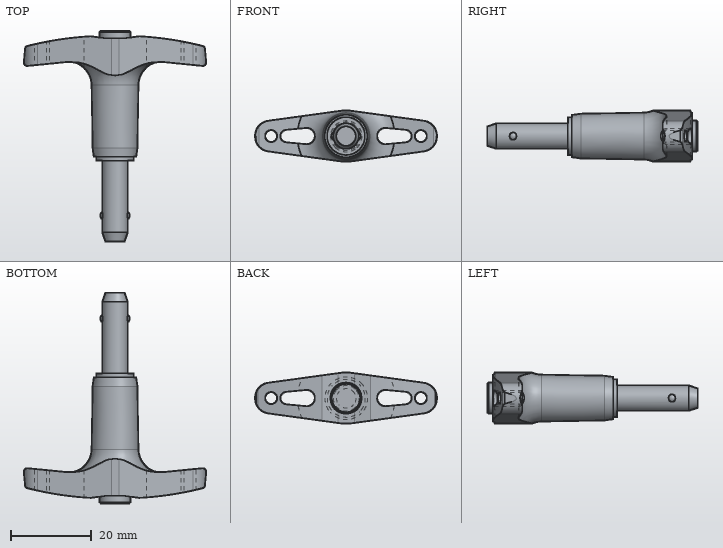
import cadquery as cq
import math


shank_radius = 3.2
shank_length = 20.05
tip_radius = 2.4
tip_length = 2.3
ball_radius = 1.05
ball_reach = 3.65
ball_y = -13.6

collar_radius = 4.7
collar_top = 1.0
grip_end_radius = 5.3
grip_low_radius = 5.6
grip_low_y = 3.2
grip_radius = 5.85
waist_radius = 5.7
waist_y = 10.45
flare_start = 18.85
flare_radius = 5.65
flare_top = 27.2

handle_half_length = 22.6
handle_half_height = 6.355
center_flat_half = 0.9
end_round_radius = 3.85

saddle_half = 2.1
saddle_y = 30.35
crown_x = 6.0
crown_y = 30.9
arm_mid_x = 14.65
arm_mid_y = 30.0
end_top_x = 22.3
end_top_y = 28.35
end_bottom_x = 22.75
arm_slope = 0.1
end_top_round = 0.65
end_bottom_round = 0.95

hole_x = 18.55
hole_radius = 1.45
slot_outer_x = 14.75
slot_outer_radius = 1.5
slot_inner_x = 9.75
slot_inner_radius = 2.0

button_radius = 3.85
button_top = 32.3
button_chamfer = 0.35


def tangent_point(x, radius, run, radius_step):
    """Upper contact point, on a circle at x, of the line that touches two circles."""
    cosine = radius_step / run
    return x + radius * cosine, radius * math.sqrt(1 - cosine ** 2)


def through_y(sketch):
    """Extrude an XZ sketch along Y past both faces of the handle."""
    return sketch.extrude(-button_top)


slope_angle = math.atan(arm_slope)
flare_x = grip_radius + flare_radius
flare_end = (
    flare_x + flare_radius * math.sin(slope_angle),
    flare_start + flare_radius * math.cos(slope_angle),
)
flare_mid_angle = math.pi * 3 / 4
flare_mid = (
    flare_x + flare_radius * math.cos(flare_mid_angle),
    flare_start + flare_radius * math.sin(flare_mid_angle),
)


def make_pin_and_grip():
    return (
        cq.Workplane("XY")
        .moveTo(0, -shank_length)
        .lineTo(tip_radius, -shank_length)
        .lineTo(shank_radius, tip_length - shank_length)
        .lineTo(shank_radius, 0)
        .lineTo(collar_radius, 0)
        .lineTo(collar_radius, collar_top)
        .lineTo(grip_end_radius, collar_top)
        .lineTo(grip_low_radius, grip_low_y)
        .threePointArc((waist_radius, waist_y), (grip_radius, flare_start))
        .lineTo(0, flare_start)
        .close()
        .revolve(360, (0, 0), (0, 1))
    )


def make_flare():
    return (
        cq.Workplane("XY")
        .moveTo(0, flare_start)
        .lineTo(grip_radius, flare_start)
        .threePointArc(flare_mid, flare_end)
        .lineTo(flare_end[0], flare_top)
        .lineTo(0, flare_top)
        .close()
        .revolve(360, (0, 0), (0, 1))
    )


def make_arms():
    corner_y = flare_end[1] - arm_slope * (end_bottom_x - flare_end[0])
    center_y = flare_end[1] + arm_slope * flare_end[0]
    arm = (
        cq.Workplane("XY")
        .moveTo(0, saddle_y)
        .lineTo(saddle_half, saddle_y)
        .lineTo(crown_x, crown_y)
        .threePointArc((arm_mid_x, arm_mid_y), (end_top_x, end_top_y))
        .lineTo(end_bottom_x, corner_y)
        .lineTo(0, center_y)
        .close()
        .extrude(handle_half_height, both=True)
    )
    arm = arm.edges("|Z").edges(">X").fillet(end_bottom_round)
    top_corner = cq.selectors.NearestToPointSelector((end_top_x, end_top_y, 0))
    arm = arm.edges("|Z").edges(top_corner).fillet(end_top_round)
    return arm.union(arm.mirror("YZ"))


def make_outline():
    end_x = handle_half_length - end_round_radius
    run = end_x - center_flat_half
    distance = math.hypot(run, handle_half_height)
    slope = math.atan2(handle_half_height, run) - math.asin(end_round_radius / distance)
    touch_x = end_x + end_round_radius * math.sin(slope)
    touch_z = end_round_radius * math.cos(slope)
    return through_y(
        cq.Workplane("XZ")
        .moveTo(-center_flat_half, handle_half_height)
        .lineTo(center_flat_half, handle_half_height)
        .lineTo(touch_x, touch_z)
        .threePointArc((handle_half_length, 0), (touch_x, -touch_z))
        .lineTo(center_flat_half, -handle_half_height)
        .lineTo(-center_flat_half, -handle_half_height)
        .lineTo(-touch_x, -touch_z)
        .threePointArc((-handle_half_length, 0), (-touch_x, touch_z))
        .close()
    )


def make_openings(side):
    run = slot_outer_x - slot_inner_x
    step = slot_inner_radius - slot_outer_radius
    inner_x, inner_z = tangent_point(slot_inner_x, slot_inner_radius, run, step)
    outer_x, outer_z = tangent_point(slot_outer_x, slot_outer_radius, run, step)
    slot = through_y(
        cq.Workplane("XZ")
        .moveTo(side * inner_x, inner_z)
        .lineTo(side * outer_x, outer_z)
        .threePointArc((side * (slot_outer_x + slot_outer_radius), 0), (side * outer_x, -outer_z))
        .lineTo(side * inner_x, -inner_z)
        .threePointArc((side * (slot_inner_x - slot_inner_radius), 0), (side * inner_x, inner_z))
        .close()
    )
    hole = through_y(cq.Workplane("XZ").center(side * hole_x, 0).circle(hole_radius))
    return slot.union(hole)


def make_button():
    return (
        cq.Workplane("XZ", origin=(0, flare_start, 0))
        .circle(button_radius)
        .extrude(flare_start - button_top)
        .faces(">Y")
        .chamfer(button_chamfer)
    )


handle = make_flare().union(make_arms()).intersect(make_outline())
result = make_pin_and_grip().union(handle).union(make_button())
for side in (-1, 1):
    ball_x = side * (ball_reach - ball_radius)
    ball = cq.Workplane("XY", origin=(ball_x, ball_y, 0)).sphere(ball_radius)
    result = result.cut(make_openings(side)).union(ball)